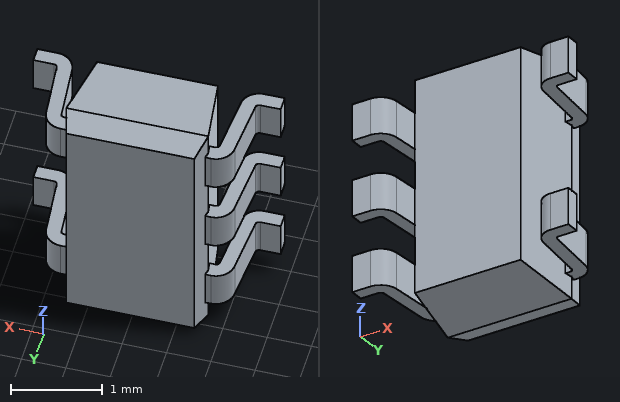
import cadquery as cq
import math


HOUSING_LENGTH = 2.9
HOUSING_WIDTH = 1.6
HOUSING_FRONT_Y = 0.15
PARTING_Y = 0.998
HOUSING_BACK_Y = 1.29
FRONT_INSET = 0.12
BACK_INSET = 0.078

LEAD_SPAN = 2.79
LEAD_WIDTH = 0.455
LEAD_PITCH = 0.948
LEAD_THICKNESS = 0.17
LEAD_TOP_Y = 1.067
INNER_RADIUS = 0.044
FOOT_LENGTH = 0.232
WEB_ANGLE = math.radians(5)

OUTER_RADIUS = INNER_RADIUS + LEAD_THICKNESS
HALF_SPAN = LEAD_SPAN / 2
HALF_HOUSING = HOUSING_WIDTH / 2


def housing_taper(face_y, inset):
    """Make a tapered block from the parting plane to an end face inset on all sides."""
    depth = face_y - PARTING_Y
    return (
        cq.Workplane(cq.Plane(origin=(0, PARTING_Y, 0), xDir=(1, 0, 0), normal=(0, -1, 0)))
        .rect(HOUSING_WIDTH, HOUSING_LENGTH)
        .workplane(offset=-depth)
        .rect(HOUSING_WIDTH - 2 * inset, HOUSING_LENGTH - 2 * inset)
        .loft(ruled=True)
    )


def housing_side_x(y):
    """Return the X of the sloping +X housing wall at height y above the seating plane."""
    if y > PARTING_Y:
        return HALF_HOUSING - BACK_INSET * (y - PARTING_Y) / (HOUSING_BACK_Y - PARTING_Y)
    return HALF_HOUSING - FRONT_INSET * (PARTING_Y - y) / (PARTING_Y - HOUSING_FRONT_Y)


def on_circle(center, radius, angle):
    return (center[0] + radius * math.cos(angle), center[1] + radius * math.sin(angle))


def gull_wing_lead(z):
    """Make a +X lead centred at z, ending flush against the housing wall."""
    foot_center = (HALF_SPAN - FOOT_LENGTH, OUTER_RADIUS)
    shoulder_y = LEAD_TOP_Y - OUTER_RADIUS
    rise = shoulder_y - foot_center[1]
    run = (INNER_RADIUS + OUTER_RADIUS + rise * math.sin(WEB_ANGLE)) / math.cos(WEB_ANGLE)
    shoulder_center = (foot_center[0] - run, shoulder_y)

    shoulder_start = math.pi / 2
    shoulder_middle = (shoulder_start + WEB_ANGLE) / 2
    foot_start = math.pi + WEB_ANGLE
    foot_end = 1.5 * math.pi
    foot_middle = (foot_start + foot_end) / 2
    lead_bottom_y = LEAD_TOP_Y - LEAD_THICKNESS

    outline = (
        cq.Workplane("XY", origin=(0, 0, z - LEAD_WIDTH / 2))
        .moveTo(housing_side_x(LEAD_TOP_Y), LEAD_TOP_Y)
        .lineTo(*on_circle(shoulder_center, OUTER_RADIUS, shoulder_start))
        .threePointArc(
            on_circle(shoulder_center, OUTER_RADIUS, shoulder_middle),
            on_circle(shoulder_center, OUTER_RADIUS, WEB_ANGLE),
        )
        .lineTo(*on_circle(foot_center, INNER_RADIUS, foot_start))
        .threePointArc(
            on_circle(foot_center, INNER_RADIUS, foot_middle),
            on_circle(foot_center, INNER_RADIUS, foot_end),
        )
        .lineTo(HALF_SPAN, LEAD_THICKNESS)
        .lineTo(HALF_SPAN, 0)
        .lineTo(*on_circle(foot_center, OUTER_RADIUS, foot_end))
        .threePointArc(
            on_circle(foot_center, OUTER_RADIUS, foot_middle),
            on_circle(foot_center, OUTER_RADIUS, foot_start),
        )
        .lineTo(*on_circle(shoulder_center, INNER_RADIUS, WEB_ANGLE))
        .threePointArc(
            on_circle(shoulder_center, INNER_RADIUS, shoulder_middle),
            on_circle(shoulder_center, INNER_RADIUS, shoulder_start),
        )
        .lineTo(housing_side_x(lead_bottom_y), lead_bottom_y)
        .lineTo(HALF_HOUSING, PARTING_Y)
        .close()
    )
    return outline.extrude(LEAD_WIDTH)


front_taper = housing_taper(HOUSING_FRONT_Y, FRONT_INSET)
back_taper = housing_taper(HOUSING_BACK_Y, BACK_INSET)
housing = front_taper.union(back_taper)

right_leads = [gull_wing_lead(z).val() for z in (-LEAD_PITCH, LEAD_PITCH)]
left_leads = [gull_wing_lead(z).mirror("YZ").val() for z in (-LEAD_PITCH, 0, LEAD_PITCH)]

result = cq.Compound.makeCompound([housing.val(), *right_leads, *left_leads])